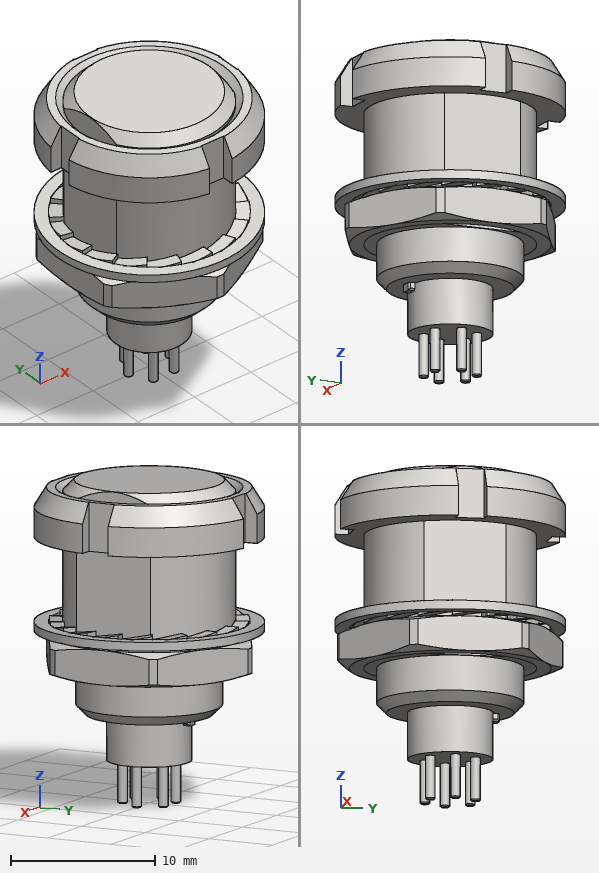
import cadquery as cq
import math

pin_tip_z = 0.0
stem_bottom_z = 3.05
barrel_bottom_z = 6.32
nut_bottom_z = 9.46
nut_top_z = 11.9
washer_bottom_z = 12.2
washer_top_z = 12.81
ring_bottom_z = 18.8
ring_top_z = 22.28
housing_top_z = 22.8

thread_radius = 6.0
flat_offset = 5.25
housing_face_radius = 5.22
barrel_radius = 5.1
barrel_chamfer = 0.68
stem_radius = 2.96
pin_count = 6
pin_circle_radius = 1.85
pin_radius = 0.35
pin_chamfer = 0.1
key_width = 1.0
key_reach = 3.4
key_height = 0.55
key_chamfer = 0.14

ring_radius = 8.0
ring_face_outer_radius = 7.14
ring_face_inner_radius = 6.5
ring_rim_height = 2.07
slot_count = 4
slot_width = 2.0
slot_floor_offset = 7.0

washer_radius = 8.0
tooth_root_radius = 7.0
tooth_count = 18
tooth_rise = 0.2

nut_half_width = 7.0
nut_corner_radius = 7.91
nut_corner_drop = 0.32
nut_bore_radius = 5.45


def cylinder(radius, bottom_z, top_z):
    return cq.Workplane("XY").workplane(offset=bottom_z).circle(radius).extrude(top_z - bottom_z)


def revolve_profile(points):
    """Turn a closed (radius, height) outline about the Z axis."""
    return cq.Workplane("XZ").polyline(points).close().revolve(360, (0, 0), (0, 1))


def make_neck():
    chamfer = thread_radius - housing_face_radius
    neck = cylinder(thread_radius, nut_bottom_z, housing_top_z).faces(">Z").edges().chamfer(chamfer)
    height = housing_top_z - nut_bottom_z
    between_flats = cq.Workplane("XY").workplane(offset=nut_bottom_z)
    between_flats = between_flats.rect(2 * flat_offset, 2 * thread_radius).extrude(height)
    return neck.intersect(between_flats)


def make_pins():
    pins = cq.Workplane("XY").workplane(offset=pin_tip_z)
    pins = pins.polarArray(pin_circle_radius, 0, 360, pin_count).circle(pin_radius)
    pins = pins.extrude(stem_bottom_z - pin_tip_z)
    return pins.faces("<Z").edges().chamfer(pin_chamfer)


def make_key():
    """Small locating key on the +Y side of the stem, with its side edges bevelled."""
    key = cq.Workplane("XY").workplane(offset=barrel_bottom_z - key_height)
    key = key.center(0, key_reach / 2).rect(key_width, key_reach).extrude(key_height)
    return key.edges("(|Z and >Y) or (|Y and <Z)").chamfer(key_chamfer)


def make_housing():
    barrel = cylinder(barrel_radius, barrel_bottom_z, nut_bottom_z)
    barrel = barrel.faces("<Z").edges().chamfer(barrel_chamfer)
    stem = cylinder(stem_radius, stem_bottom_z, barrel_bottom_z)
    return make_neck().union(barrel).union(stem).union(make_key()).union(make_pins())


def make_ring():
    countersink = ring_face_inner_radius - thread_radius
    ring = revolve_profile([
        (thread_radius, ring_bottom_z),
        (ring_radius, ring_bottom_z),
        (ring_radius, ring_bottom_z + ring_rim_height),
        (ring_face_outer_radius, ring_top_z),
        (ring_face_inner_radius, ring_top_z),
        (thread_radius, ring_top_z - countersink),
    ])
    slot_depth = ring_radius - slot_floor_offset
    slot = cq.Workplane("XY").workplane(offset=ring_bottom_z)
    slot = slot.center(slot_floor_offset + slot_depth / 2, 0).rect(slot_depth, slot_width)
    slot = slot.extrude(ring_top_z - ring_bottom_z)
    for index in range(slot_count):
        ring = ring.cut(slot.rotate((0, 0, 0), (0, 0, 1), index * 360 / slot_count))
    return ring


def make_tooth():
    """One washer tooth: a ring sector whose slab climbs steadily toward +Y."""
    half_angle = math.pi / tooth_count
    half_width = tooth_root_radius * math.sin(half_angle)
    slab = cq.Workplane("YZ").polyline([
        (-half_width, washer_bottom_z - tooth_rise),
        (half_width, washer_bottom_z + tooth_rise),
        (half_width, washer_top_z + tooth_rise),
        (-half_width, washer_top_z - tooth_rise),
    ]).close().extrude(tooth_root_radius)
    lowest_z = washer_bottom_z - tooth_rise
    sector_end = tooth_root_radius * math.cos(half_angle)
    sector = cq.Workplane("XY").workplane(offset=lowest_z).moveTo(0, 0)
    sector = sector.lineTo(sector_end, -half_width)
    sector = sector.threePointArc((tooth_root_radius, 0), (sector_end, half_width)).close()
    sector = sector.extrude(washer_top_z + tooth_rise - lowest_z)
    bore = cylinder(thread_radius, lowest_z, washer_top_z + tooth_rise)
    return slab.intersect(sector).cut(bore)


def make_washer():
    bore = cylinder(tooth_root_radius, washer_bottom_z, washer_top_z)
    washer = cylinder(washer_radius, washer_bottom_z, washer_top_z).cut(bore)
    tooth = make_tooth()
    pitch = 360 / tooth_count
    for index in range(tooth_count):
        washer = washer.union(tooth.rotate((0, 0, 0), (0, 0, 1), -90 + (index - 0.5) * pitch))
    return washer


def make_nut(housing):
    corner_diameter = 2 * nut_half_width / math.cos(math.pi / 6)
    hexagon = cq.Workplane("XY").workplane(offset=nut_bottom_z).polygon(6, corner_diameter)
    hexagon = hexagon.extrude(nut_top_z - nut_bottom_z).rotate((0, 0, 0), (0, 0, 1), 30)
    countersink = thread_radius - nut_bore_radius
    turned = revolve_profile([
        (thread_radius, nut_bottom_z),
        (nut_half_width, nut_bottom_z),
        (nut_corner_radius, nut_bottom_z + nut_corner_drop),
        (nut_corner_radius, nut_top_z - nut_corner_drop),
        (nut_half_width, nut_top_z),
        (thread_radius, nut_top_z),
        (nut_bore_radius, nut_top_z - countersink),
        (nut_bore_radius, nut_bottom_z + countersink),
    ])
    return hexagon.intersect(turned).cut(housing)


housing = make_housing()
ring = make_ring()
washer = make_washer()
nut = make_nut(housing)

result = cq.Compound.makeCompound([
    housing.solids().val(),
    ring.solids().val(),
    washer.solids().val(),
    nut.solids().val(),
])